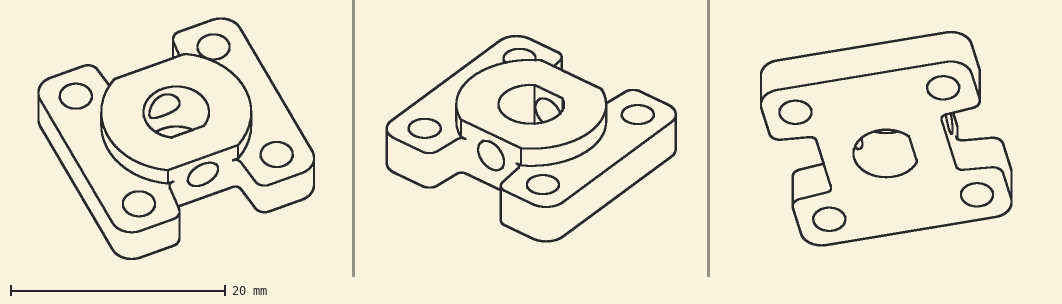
import cadquery as cq

width = 20.15
length = 20.55
base_height = 4.0
corner_radius = 2.0

waist_width = 12.0
notch_inner_half = 3.6
notch_outer_half = 4.0
notch_inner_radius = 0.6
notch_outer_radius = 1.0

total_height = 6.0
hub_radius = 7.0

bore_radius = 3.06
bore_flat_x = 2.57

mount_diameter = 3.0
mount_spacing = 14.15
cross_diameter = 3.1
cross_height = 3.5


def notched_base():
    """Rounded plate narrowed to a waist by a tapered notch on each side."""
    plate = (
        cq.Workplane("XY")
        .rect(width, length)
        .extrude(base_height)
        .edges("|Z")
        .fillet(corner_radius)
    )
    inner_x = waist_width / 2
    outer_x = width / 2
    for side in (-1, 1):
        notch = (
            cq.Workplane("XY")
            .polyline([
                (side * inner_x, -notch_inner_half),
                (side * outer_x, -notch_outer_half),
                (side * outer_x, notch_outer_half),
                (side * inner_x, notch_inner_half),
            ])
            .close()
            .extrude(base_height)
        )
        plate = plate.cut(notch)

    for x, y, radius in (
        (inner_x, notch_inner_half, notch_inner_radius),
        (outer_x, notch_outer_half, notch_outer_radius),
    ):
        for side_x in (-1, 1):
            for side_y in (-1, 1):
                corner = (side_x * x, side_y * y, base_height / 2)
                plate = plate.edges(cq.NearestToPointSelector(corner)).fillet(radius)
    return plate


def flattened_hub():
    """Disc with two parallel flats, standing full height."""
    disc = cq.Workplane("XY").circle(hub_radius).extrude(total_height)
    flats = cq.Workplane("XY").rect(waist_width, 2 * hub_radius).extrude(total_height)
    return disc.intersect(flats)


def d_bore():
    """Vertical through bore with one flat on the +X side."""
    bore = cq.Workplane("XY").circle(bore_radius).extrude(total_height)
    beyond_flat = (
        cq.Workplane("XY")
        .center(bore_flat_x, 0)
        .rect(2 * bore_radius, 2 * bore_radius)
        .extrude(total_height)
        .translate((bore_radius, 0, 0))
    )
    return bore.cut(beyond_flat)


def mounting_holes():
    """Four vertical through holes on a square pattern."""
    return (
        cq.Workplane("XY")
        .rect(mount_spacing, mount_spacing, forConstruction=True)
        .vertices()
        .circle(mount_diameter / 2)
        .extrude(base_height)
    )


def cross_hole():
    """Hole along X through both hub flats, crossing the bore."""
    return (
        cq.Workplane("YZ")
        .center(0, cross_height)
        .circle(cross_diameter / 2)
        .extrude(width / 2, both=True)
    )


result = (
    notched_base()
    .union(flattened_hub())
    .cut(d_bore())
    .cut(mounting_holes())
    .cut(cross_hole())
)